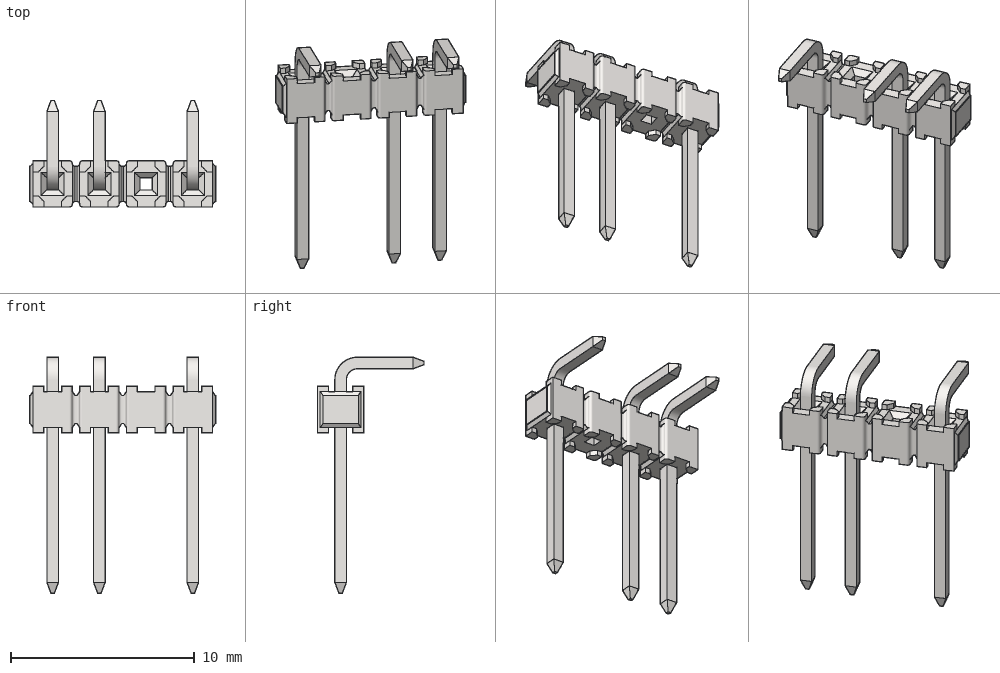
import cadquery as cq
import math

sin_45 = math.sqrt(0.5)

cell_count = 4
row_length = 10.16
pitch = row_length / cell_count
pin_cells = [0, 1, 3]

block_width = 2.15
block_depth = 2.52
block_height = 2.55
foot_height = 0.3
foot_width = 0.59
foot_depth = 0.6
foot_chamfer = 0.3
core_height = block_height - 2 * foot_height

neck_length = (pitch - block_width) / 2
neck_land = 0.05
neck_flare = neck_length - neck_land
neck_depth = 1.93
neck_height = 1.54
flare_depth = neck_depth + 2 * neck_flare
corner_radius = (block_depth - flare_depth) / 2

pin_size = 0.64
pin_top = 2.85
pin_bottom = -10.0
pin_reach = 4.54
bend_inner_radius = 0.59
tip_length = 0.6
tip_size = 0.19

funnel_size = 1.26
funnel_depth = 0.31


def cell_center(index):
    return (index - (cell_count - 1) / 2) * pitch


def make_foot():
    """Corner foot in the +X +Y quadrant, over the full block height, chamfered toward the pin."""
    outer_x = block_width / 2
    outer_y = block_depth / 2
    inner_x = outer_x - foot_width
    inner_y = outer_y - foot_depth
    return (
        cq.Workplane("XY", origin=(0, 0, -block_height / 2))
        .moveTo(outer_x, outer_y)
        .lineTo(inner_x, outer_y)
        .lineTo(inner_x, inner_y + foot_chamfer)
        .lineTo(inner_x + foot_chamfer, inner_y)
        .lineTo(outer_x, inner_y)
        .close()
        .extrude(block_height)
    )


def make_block(rounded_sides):
    """Core with feet on four corners; vertical edges are rounded on the given X sides."""
    block = cq.Workplane("XY").box(block_width, block_depth, core_height)
    foot = make_foot()
    foot_pair = foot.union(foot.mirror("YZ"))
    block = block.union(foot_pair).union(foot_pair.mirror("XZ"))
    for side in rounded_sides:
        corner_edges = cq.selectors.BoxSelector(
            (side * (block_width / 2 - corner_radius / 2), -block_depth, -block_height),
            (side * block_width, block_depth, block_height),
        )
        outer_edges = block.faces("<Y or >Y").edges("|Z").edges(corner_edges)
        block = block.newObject(outer_edges.vals()).fillet(corner_radius)
    return block


def make_neck(curved):
    """Half neck growing along +X from x = 0; its Y sides flare as an arc or as a straight slope."""
    half_neck = neck_depth / 2
    half_flare = flare_depth / 2
    plan = cq.Workplane("XY", origin=(0, 0, -core_height / 2)).moveTo(0, -half_flare)
    if curved:
        sag = neck_flare * (1 - sin_45)
        plan = (
            plan.threePointArc((sag, -half_neck - sag), (neck_flare, -half_neck))
            .lineTo(neck_length, -half_neck)
            .lineTo(neck_length, half_neck)
            .lineTo(neck_flare, half_neck)
            .threePointArc((sag, half_neck + sag), (0, half_flare))
        )
    else:
        plan = (
            plan.lineTo(neck_flare, -half_neck)
            .lineTo(neck_length, -half_neck)
            .lineTo(neck_length, half_neck)
            .lineTo(neck_flare, half_neck)
            .lineTo(0, half_flare)
        )
    profile = (
        cq.Workplane("XZ")
        .moveTo(0, -core_height / 2)
        .lineTo(neck_flare, -neck_height / 2)
        .lineTo(neck_length, -neck_height / 2)
        .lineTo(neck_length, neck_height / 2)
        .lineTo(neck_flare, neck_height / 2)
        .lineTo(0, core_height / 2)
        .close()
        .extrude(block_depth / 2, both=True)
    )
    return plan.close().extrude(core_height).intersect(profile)


def make_pin_hole():
    """Square through hole with a funnel at the top of the core."""
    hole = cq.Workplane("XY").rect(pin_size, pin_size).extrude(block_height, both=True)
    funnel = (
        cq.Workplane("XY", origin=(0, 0, core_height / 2))
        .rect(funnel_size, funnel_size)
        .workplane(offset=-funnel_depth)
        .rect(pin_size, pin_size)
        .loft(ruled=True)
    )
    return hole.union(funnel)


def make_cell(index):
    is_first = index == 0
    is_last = index == cell_count - 1
    rounded_sides = []
    if not is_first:
        rounded_sides.append(-1)
    if not is_last:
        rounded_sides.append(1)
    right_neck = make_neck(curved=not is_last).translate((block_width / 2, 0, 0))
    left_neck = make_neck(curved=not is_first).mirror("YZ").translate((-block_width / 2, 0, 0))
    cell = make_block(rounded_sides).union(right_neck).union(left_neck)
    return cell.cut(make_pin_hole())


def make_housing():
    housing = make_cell(0).translate((cell_center(0), 0, 0))
    for index in range(1, cell_count):
        housing = housing.union(make_cell(index).translate((cell_center(index), 0, 0)))
    return housing


def make_tip(plane):
    """Pyramid frustum from the full pin section to the blunt tip, along the plane's normal."""
    return (
        cq.Workplane(plane)
        .rect(pin_size, pin_size)
        .workplane(offset=tip_length)
        .rect(tip_size, tip_size)
        .loft(ruled=True)
    )


def make_pin():
    half = pin_size / 2
    leg_axis_z = pin_top - half
    bend_center_y = half + bend_inner_radius
    bend_center_z = pin_top - pin_size - bend_inner_radius
    bend_outer_radius = bend_inner_radius + pin_size
    leg_end = pin_reach - tip_length
    shank_end = pin_bottom + tip_length
    inner_shift = bend_inner_radius * sin_45
    outer_shift = bend_outer_radius * sin_45
    bar = (
        cq.Workplane("YZ")
        .moveTo(-half, shank_end)
        .lineTo(-half, bend_center_z)
        .threePointArc(
            (bend_center_y - outer_shift, bend_center_z + outer_shift), (bend_center_y, pin_top)
        )
        .lineTo(leg_end, pin_top)
        .lineTo(leg_end, pin_top - pin_size)
        .lineTo(bend_center_y, pin_top - pin_size)
        .threePointArc(
            (bend_center_y - inner_shift, bend_center_z + inner_shift), (half, bend_center_z)
        )
        .lineTo(half, shank_end)
        .close()
        .extrude(half, both=True)
    )
    bottom_tip = make_tip(cq.Plane((0, 0, shank_end), xDir=(1, 0, 0), normal=(0, 0, -1)))
    leg_tip = make_tip(cq.Plane((0, leg_end, leg_axis_z), xDir=(1, 0, 0), normal=(0, 1, 0)))
    return bar.union(bottom_tip).union(leg_tip)


housing = make_housing()
pins = [make_pin().translate((cell_center(index), 0, 0)) for index in pin_cells]

result = cq.Compound.makeCompound([housing.val(), *[pin.val() for pin in pins]])